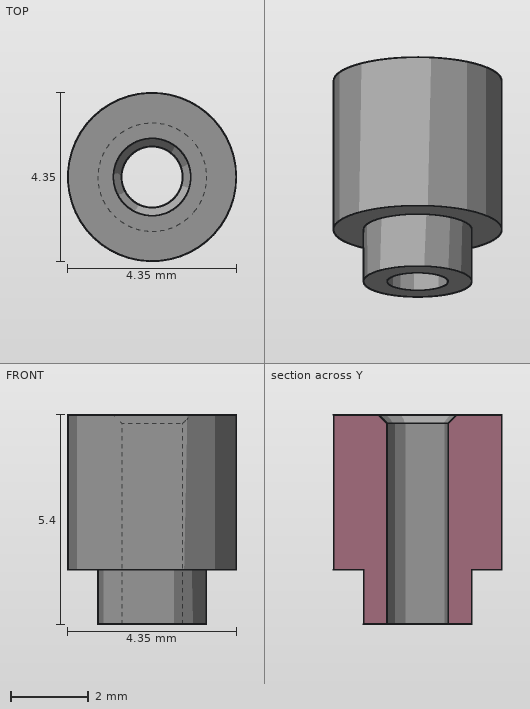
import cadquery as cq

total_height = 5.4
body_height = 4.0
body_diameter = 4.35
spigot_diameter = 2.8
bore_diameter = 1.57
countersink_diameter = 2.0

spigot_height = total_height - body_height
countersink_depth = (countersink_diameter - bore_diameter) / 2

spigot = cq.Workplane("XY").circle(spigot_diameter / 2).extrude(spigot_height)
body = (
    cq.Workplane("XY")
    .workplane(offset=spigot_height)
    .circle(body_diameter / 2)
    .extrude(body_height)
)

bore = cq.Workplane("XY").circle(bore_diameter / 2).extrude(total_height)
countersink = (
    cq.Workplane("XY")
    .workplane(offset=total_height - countersink_depth)
    .circle(bore_diameter / 2)
    .workplane(offset=countersink_depth)
    .circle(countersink_diameter / 2)
    .loft()
)

result = spigot.union(body).cut(bore).cut(countersink)